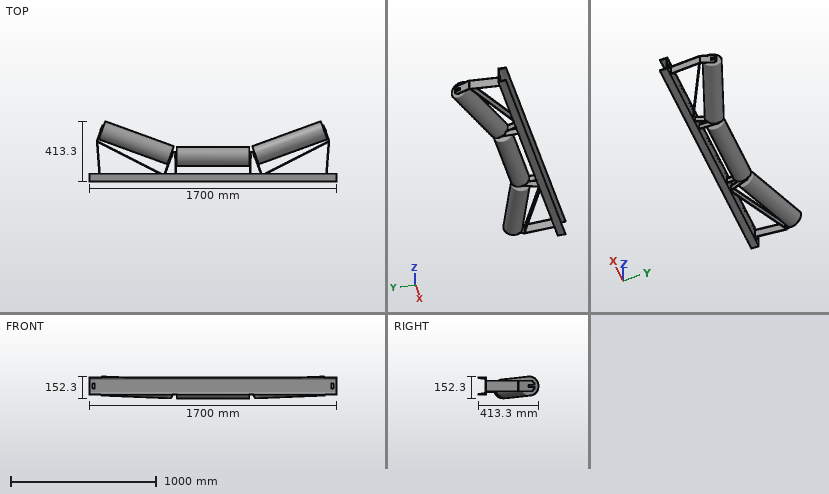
import cadquery as cq
import math


beam_length = 1700.0
beam_height = 120.0
flange_width = 55.0
web_thickness = 7.0
flange_thickness = 9.0
flange_slope = 0.08
root_radius = 9.0
tip_radius = 4.5
slot_width = 14.0
slot_length = 36.0
slot_inset = 30.0

roller_diameter = 133.0
roller_length = 500.0
rim_fillet = 3.0
axle_diameter = 20.0
axle_flat = 14.0
axle_overhang = 12.0
trough_angle = 20.0
tilt_angle = 2.2
middle_roller_y = 117.0
middle_roller_z = -19.44
wing_end_x = 762.0
wing_end_y = 296.63

strip_thickness = 6.0
end_gap = 4.0
gap_and_strip = end_gap + strip_thickness

post_width = 75.0
post_foot_x = 777.0
post_fold_y = 222.0
post_top_past_axle = 33.0
post_corner = 20.0

inner_bracket_width = 48.0
inner_bracket_top_y = 149.0
inner_bend_radius = 4.0
outer_bend_radius = inner_bend_radius + strip_thickness

brace_width = 50.0
brace_thickness = 5.0
brace_foot_x = 358.0

trough = math.radians(trough_angle)
tilt = math.radians(tilt_angle)


def plate(outline, width):
    """Closed outline in XY, extruded to both sides of Z = 0."""
    return cq.Workplane("XY").polyline(outline).close().extrude(width / 2, both=True)


def make_beam():
    half_height = beam_height / 2
    tip_thickness = flange_thickness - flange_slope * flange_width / 2
    root_thickness = flange_thickness + flange_slope * (flange_width / 2 - web_thickness)
    tip_z = half_height - tip_thickness
    root_z = half_height - root_thickness
    outline = [
        (0, -half_height),
        (-flange_width, -half_height),
        (-flange_width, -tip_z),
        (-web_thickness, -root_z),
        (-web_thickness, root_z),
        (-flange_width, tip_z),
        (-flange_width, half_height),
        (0, half_height),
    ]
    beam = cq.Workplane("YZ", origin=(-beam_length / 2, 0, 0))
    beam = beam.polyline(outline).close().extrude(beam_length)
    for y, z, radius in [(-web_thickness, root_z, root_radius), (-flange_width, tip_z, tip_radius)]:
        for side in (-1, 1):
            beam = beam.edges(cq.selectors.NearestToPointSelector((0, y, side * z))).fillet(radius)

    slot_x = beam_length / 2 - slot_inset
    slots = (
        cq.Workplane("XZ")
        .pushPoints([(-slot_x, 0), (slot_x, 0)])
        .slot2D(slot_length, slot_width, 90)
        .extrude(web_thickness)
    )
    return beam.cut(slots)


def flatted_bar(length):
    """Round bar along X, centred on the origin, with flats facing up and down."""
    bar = cq.Workplane("YZ", origin=(-length / 2, 0, 0)).circle(axle_diameter / 2).extrude(length)
    return bar.intersect(cq.Workplane("XY").box(length, axle_diameter, axle_flat))


def make_roller():
    """Barrel and axle along X, centred on the origin."""
    barrel = cq.Workplane("YZ", origin=(-roller_length / 2, 0, 0))
    barrel = barrel.circle(roller_diameter / 2).extrude(roller_length)
    barrel = barrel.edges().fillet(rim_fillet)
    return barrel.union(flatted_bar(roller_length + 2 * axle_overhang))


def make_axle_slot(side):
    """Cutter at one end of a roller: fits the axle end and opens towards +Y."""
    length = 2 * axle_overhang
    mouth = cq.Workplane("XY").box(length, roller_diameter, axle_flat, centered=(True, False, True))
    return flatted_bar(length).union(mouth).translate((side * roller_length / 2, 0, 0))


def place_middle(body):
    """Moves a body from the roller frame to the middle roller."""
    return body.translate((0, middle_roller_y, middle_roller_z))


def place_wing(body):
    """Moves a body from the roller frame to the right wing roller, +X end outward."""
    body = body.translate((-roller_length / 2, 0, 0))
    body = body.rotate((0, 0, 0), (0, 1, 0), -tilt_angle)
    body = body.rotate((0, 0, 0), (0, 0, 1), trough_angle)
    return body.translate((wing_end_x, wing_end_y, 0))


def square_to_wing_x(distance, y):
    """X, at a given Y, of the plane square to the wing axis, a distance past its outer end."""
    return wing_end_x + distance / math.cos(trough) - (y - wing_end_y) * math.tan(trough)


post_fold_x = square_to_wing_x(end_gap, post_fold_y)


def make_end_post():
    """Leans out from the beam to the fold, then follows the outer end of the wing roller."""

    def top_point(distance):
        x = wing_end_x + distance * math.cos(trough) - post_top_past_axle * math.sin(trough)
        y = wing_end_y + distance * math.sin(trough) + post_top_past_axle * math.cos(trough)
        return (x, y)

    outline = [
        (post_foot_x, 0),
        (post_fold_x, post_fold_y),
        top_point(end_gap),
        top_point(gap_and_strip),
        (square_to_wing_x(gap_and_strip, post_fold_y), post_fold_y),
        (post_foot_x + strip_thickness, 0),
    ]
    post = plate(outline, post_width)
    top_x, top_y = top_point(end_gap + strip_thickness / 2)
    for side in (-1, 1):
        top_corner = (top_x, top_y, side * post_width / 2)
        post = post.edges(cq.selectors.NearestToPointSelector(top_corner)).chamfer(post_corner)
    return post.cut(place_wing(make_axle_slot(1)))


def make_inner_bracket():
    """Bent over at the top: one leg at the middle roller, the other at the wing roller."""
    middle_face = roller_length / 2 + end_gap
    middle_inside = roller_length / 2 + gap_and_strip
    wing_face = -roller_length - end_gap
    wing_inside = -roller_length - gap_and_strip
    top = inner_bracket_top_y
    inside_top = top - strip_thickness
    outer_bends = [(middle_face, top), (square_to_wing_x(wing_face, top), top)]
    inner_bends = [(middle_inside, inside_top), (square_to_wing_x(wing_inside, inside_top), inside_top)]
    outline = [
        (middle_face, 0),
        *outer_bends,
        (square_to_wing_x(wing_face, 0), 0),
        (square_to_wing_x(wing_inside, 0), 0),
        *reversed(inner_bends),
        (middle_inside, 0),
    ]
    bracket = plate(outline, inner_bracket_width)
    for corners, radius in [(inner_bends, inner_bend_radius), (outer_bends, outer_bend_radius)]:
        for x, y in corners:
            bracket = bracket.edges(cq.selectors.NearestToPointSelector((x, y, 0))).fillet(radius)
    bracket = bracket.translate((0, 0, middle_roller_z))
    bracket = bracket.cut(place_middle(make_axle_slot(1)))
    return bracket.cut(place_wing(make_axle_slot(-1)))


def make_brace():
    """Straight strip from the beam to the end post, its upper face meeting the post at the fold."""
    brace_run = (post_fold_x - brace_foot_x) / post_fold_y
    post_run = (post_fold_x - post_foot_x) / post_fold_y
    outer_foot_x = brace_foot_x + brace_thickness * math.hypot(1, brace_run)
    lower_y = (post_foot_x - outer_foot_x) / (brace_run - post_run)
    outline = [
        (brace_foot_x, 0),
        (post_fold_x, post_fold_y),
        (post_foot_x + post_run * lower_y, lower_y),
        (outer_foot_x, 0),
    ]
    return plate(outline, brace_width)


beam = make_beam()
middle_roller = place_middle(make_roller())
bodies = [beam.val(), middle_roller.val()]

wing_roller = place_wing(make_roller())
end_post = make_end_post()
inner_bracket = make_inner_bracket()
brace = make_brace()
for right_body in (wing_roller, end_post, inner_bracket, brace):
    left_body = right_body.mirror("YZ")
    bodies.append(right_body.val())
    bodies.append(left_body.val())

result = cq.Compound.makeCompound(bodies)